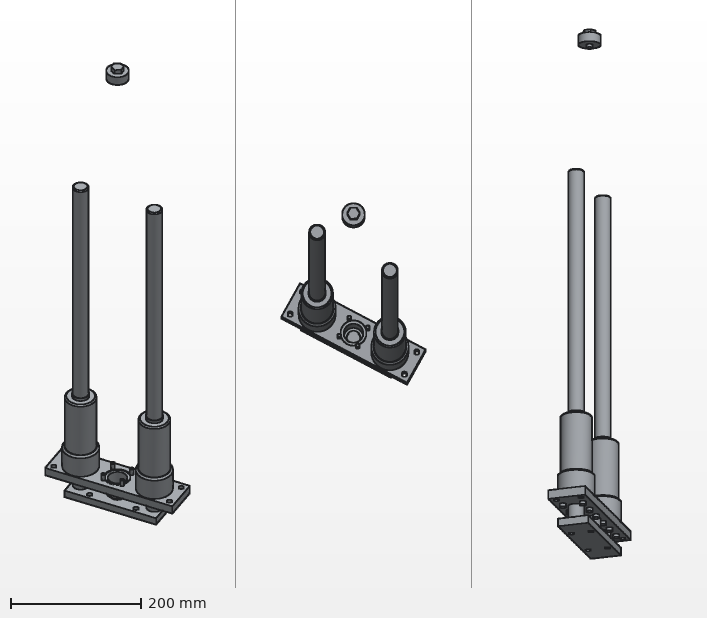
import cadquery as cq

total_height = 832.0
guide_spacing = 127.0
guide_positions = [(-guide_spacing / 2, 0), (guide_spacing / 2, 0)]

yoke_length = 158.0
yoke_width = 49.0
yoke_thickness = 12.5
yoke_boss_diameter = 21.0
yoke_hole_diameter = 8.0
yoke_hole_spacing_x = 80.0
yoke_hole_spacing_y = 32.0
rod_diameter = 25.0
rod_top = 583.0
rod_chamfer = 2.1

plate_length = 220.0
plate_width = 60.0
plate_bottom = 35.0
plate_thickness = 14.0
plate_top = plate_bottom + plate_thickness
plate_hole_diameter = 8.0
plate_hole_inset = 10.0
collar_diameter = 35.0
collar_bore_diameter = 30.0
collar_bottom = 20.0
recess_diameter = 40.0
recess_depth = 2.0
sleeve_base_diameter = 57.5
sleeve_base_top = 87.0
sleeve_base_chamfer = 3.0
sleeve_diameter = 49.0
sleeve_top = 182.0
sleeve_chamfer = 2.5
bearing_diameter = 27.0
bearing_top = 187.0

screw_spacing = 32.5
screw_diameter = 6.0
screw_head_diameter = 10.0
screw_head_height = 5.0
screw_tip_diameter = 4.9
screw_top = 60.0

coupling_diameter = 35.0
coupling_body_height = 15.0
hexagon_across_corners = 20.0
hexagon_height = 7.5
stud_diameter = 10.0
stud_length = 5.0


def cylinder(diameter, bottom, top, positions):
    """Upright cylinders between two heights, one at each XY position."""
    return (
        cq.Workplane("XY", origin=(0, 0, bottom))
        .pushPoints(positions)
        .circle(diameter / 2)
        .extrude(top - bottom)
    )


def bar(length, width, bottom, thickness):
    """A rectangular bar centred on the Z axis."""
    return cq.Workplane("XY", origin=(0, 0, bottom)).rect(length, width).extrude(thickness)


def corners(center, spacing_x, spacing_y):
    """The four corners of a rectangle about a centre point."""
    center_x, center_y = center
    return [
        (center_x + side_x * spacing_x / 2, center_y + side_y * spacing_y / 2)
        for side_x in (-1, 1)
        for side_y in (-1, 1)
    ]


def make_yoke():
    holes = corners((0, 0), yoke_hole_spacing_x, yoke_hole_spacing_y)
    rods = cylinder(rod_diameter, 0, rod_top, guide_positions).faces(">Z").chamfer(rod_chamfer)
    return (
        bar(yoke_length, yoke_width, 0, yoke_thickness)
        .cut(cylinder(yoke_hole_diameter, 0, yoke_thickness, holes))
        .union(cylinder(yoke_boss_diameter, 0, collar_bottom, [(0, 0)]))
        .union(rods)
    )


def make_sleeves():
    tubes = cylinder(sleeve_diameter, plate_bottom, sleeve_top, guide_positions)
    bases = cylinder(sleeve_base_diameter, plate_bottom, sleeve_base_top, guide_positions)
    return (
        bases.faces(">Z").chamfer(sleeve_base_chamfer)
        .union(tubes.faces(">Z").chamfer(sleeve_chamfer))
        .union(cylinder(bearing_diameter, plate_bottom, bearing_top, guide_positions))
    )


def make_screw_heads():
    positions = []
    for center in [(0, 0), *guide_positions]:
        positions += corners(center, screw_spacing, screw_spacing)
    return cylinder(screw_head_diameter, plate_bottom - screw_head_height, plate_bottom, positions)


def make_housing():
    plate_holes = corners(
        (0, 0), plate_length - 2 * plate_hole_inset, plate_width - 2 * plate_hole_inset
    )
    screw_positions = corners((0, 0), screw_spacing, screw_spacing)
    screw_ends = cylinder(screw_diameter, plate_bottom, screw_top, screw_positions)
    tip_chamfer = (screw_diameter - screw_tip_diameter) / 2
    return (
        bar(plate_length, plate_width, plate_bottom, plate_thickness)
        .cut(cylinder(plate_hole_diameter, plate_bottom, plate_top, plate_holes))
        .union(cylinder(collar_diameter, collar_bottom, plate_top, [(0, 0)]))
        .union(make_sleeves())
        .union(make_screw_heads())
        .union(screw_ends.faces(">Z").chamfer(tip_chamfer))
        .cut(cylinder(collar_bore_diameter, collar_bottom, plate_top, [(0, 0)]))
        .cut(cylinder(recess_diameter, plate_top - recess_depth, plate_top, [(0, 0)]))
        .cut(cylinder(rod_diameter, plate_bottom, bearing_top, guide_positions))
    )


def make_coupling():
    body_top = total_height - hexagon_height
    body_bottom = body_top - coupling_body_height
    hexagon = (
        cq.Workplane("XY", origin=(0, 0, body_top))
        .transformed(rotate=(0, 0, 90))
        .polygon(6, hexagon_across_corners)
        .extrude(hexagon_height)
    )
    return (
        cylinder(coupling_diameter, body_bottom, body_top, [(0, 0)])
        .union(hexagon)
        .union(cylinder(stud_diameter, body_bottom - stud_length, body_bottom, [(0, 0)]))
    )


yoke = make_yoke()
housing = make_housing()
coupling = make_coupling()

result = cq.Compound.makeCompound([yoke.val(), housing.val(), coupling.val()])